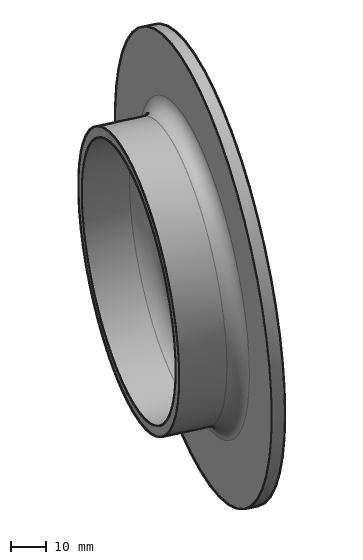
import cadquery as cq

flange_diameter = 138.0
flange_thickness = 4.0
overall_length = 23.0
tube_outer_diameter = 88.9
tube_bore_diameter = 82.5
root_fillet_radius = 5.0
mouth_radius = root_fillet_radius + flange_thickness

flange_radius = flange_diameter / 2
tube_outer_radius = tube_outer_diameter / 2
bore_radius = tube_bore_diameter / 2

flange_front = -flange_thickness
tube_end = -overall_length

section = (
    cq.Workplane("XY")
    .moveTo(bore_radius + mouth_radius, 0)
    .lineTo(flange_radius, 0)
    .lineTo(flange_radius, flange_front)
    .lineTo(tube_outer_radius + root_fillet_radius, flange_front)
    .radiusArc((tube_outer_radius, flange_front - root_fillet_radius), -root_fillet_radius)
    .lineTo(tube_outer_radius, tube_end)
    .lineTo(bore_radius, tube_end)
    .lineTo(bore_radius, -mouth_radius)
    .radiusArc((bore_radius + mouth_radius, 0), mouth_radius)
    .close()
)

result = section.revolve(360, (0, 0, 0), (0, 1, 0))